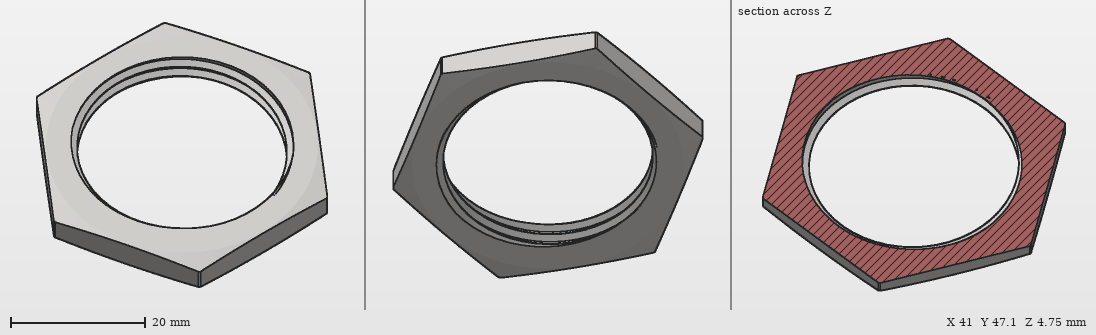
import cadquery as cq
import math

THICKNESS = 4.75
ACROSS_FLATS = 41.0
ACROSS_CORNERS = 47.15
FACE_CIRCLE_DIAMETER = 40.5
CHAMFER_ANGLE = 8.7
HEX_HALF_ANGLE = 30.0

PITCH = 2.25
MAJOR_RADIUS = 33.25 / 2
THREAD_DEPTH = 1.0
MINOR_RADIUS = MAJOR_RADIUS - THREAD_DEPTH
FLANK_ANGLE = 27.5
CREST_WIDTH = 0.12
CREST_EXIT_ANGLE = 315.0
ROOT_OVERLAP = 0.3


def hexagonal_blank():
    """Hexagonal plate with two flats facing X."""
    sharp_corners = ACROSS_FLATS / math.cos(math.radians(HEX_HALF_ANGLE))
    return (
        cq.Workplane("XY")
        .polygon(6, sharp_corners)
        .extrude(THICKNESS)
        .rotate((0, 0, 0), (0, 0, 1), HEX_HALF_ANGLE)
    )


def chamfer_envelope():
    """Disc whose rim trims the hexagon corners and whose cones chamfer them on both faces."""
    face_radius = FACE_CIRCLE_DIAMETER / 2
    rim_radius = ACROSS_CORNERS / 2
    drop = (rim_radius - face_radius) * math.tan(math.radians(CHAMFER_ANGLE))
    return (
        cq.Workplane("XZ")
        .moveTo(0, 0)
        .lineTo(face_radius, 0)
        .lineTo(rim_radius, drop)
        .lineTo(rim_radius, THICKNESS - drop)
        .lineTo(face_radius, THICKNESS)
        .lineTo(0, THICKNESS)
        .close()
        .revolve(360, (0, 0, 0), (0, 1, 0))
    )


def thread_ridge():
    """Helical ridge standing on the major diameter, trimmed to the two faces."""
    turns = math.ceil(THICKNESS / PITCH) + 1
    start_height = THICKNESS - turns * PITCH + PITCH / 2
    base_radius = MAJOR_RADIUS + ROOT_OVERLAP
    crest_half = CREST_WIDTH / 2
    flank_slope = math.tan(math.radians(FLANK_ANGLE))
    root_half = crest_half + THREAD_DEPTH * flank_slope
    helix = cq.Wire.makeHelix(PITCH, turns * PITCH, MAJOR_RADIUS)
    ridge = (
        cq.Workplane("XZ")
        .moveTo(MINOR_RADIUS, -crest_half)
        .lineTo(MAJOR_RADIUS, -root_half)
        .lineTo(base_radius, -root_half)
        .lineTo(base_radius, root_half)
        .lineTo(MAJOR_RADIUS, root_half)
        .lineTo(MINOR_RADIUS, crest_half)
        .close()
        .sweep(cq.Workplane(helix), isFrenet=True)
        .rotate((0, 0, 0), (0, 0, 1), CREST_EXIT_ANGLE - 180)
        .translate((0, 0, start_height))
    )
    slab = cq.Workplane("XY").circle(ACROSS_FLATS / 2).extrude(THICKNESS)
    return ridge.intersect(slab)


body = hexagonal_blank().intersect(chamfer_envelope())
bore = cq.Workplane("XY").circle(MAJOR_RADIUS).extrude(THICKNESS)
result = body.cut(bore).union(thread_ridge())